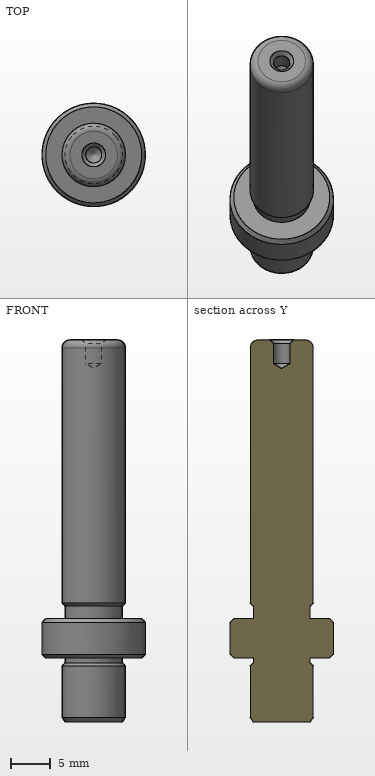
import cadquery as cq
import math

total_length = 48.0
pin_radius = 4.0
neck_radius = 3.6
top_fillet = 1.0

shank_end_radius = 3.6
shank_end_chamfer_height = 0.6
shank_top = 7.05

collar_radius = 6.505
collar_bottom = 8.0
collar_height = 5.0
collar_chamfer = 0.5
collar_top = collar_bottom + collar_height

neck_step = pin_radius - neck_radius
upper_neck_length = 1.55
upper_neck_top = collar_top + upper_neck_length

hole_radius = 1.0
hole_mouth_radius = 1.5
hole_depth = 3.0
drill_point_angle = 118.0


def make_body():
    fillet_offset = top_fillet * math.sin(math.radians(45))
    fillet_center_radius = pin_radius - top_fillet
    fillet_center_z = total_length - top_fillet
    profile = (
        cq.Workplane("XZ")
        .moveTo(0, 0)
        .lineTo(shank_end_radius, 0)
        .lineTo(pin_radius, shank_end_chamfer_height)
        .lineTo(pin_radius, shank_top)
        .lineTo(neck_radius, shank_top + neck_step)
        .lineTo(neck_radius, collar_bottom)
        .lineTo(collar_radius - collar_chamfer, collar_bottom)
        .lineTo(collar_radius, collar_bottom + collar_chamfer)
        .lineTo(collar_radius, collar_top - collar_chamfer)
        .lineTo(collar_radius - collar_chamfer, collar_top)
        .lineTo(neck_radius, collar_top)
        .lineTo(neck_radius, upper_neck_top)
        .lineTo(pin_radius, upper_neck_top + neck_step)
        .lineTo(pin_radius, fillet_center_z)
        .threePointArc(
            (fillet_center_radius + fillet_offset, fillet_center_z + fillet_offset),
            (fillet_center_radius, total_length),
        )
        .lineTo(0, total_length)
        .close()
    )
    return profile.revolve(360, (0, 0, 0), (0, 1, 0))


def make_center_hole():
    countersink_depth = hole_mouth_radius - hole_radius
    wall_end = total_length - hole_depth
    point_length = hole_radius / math.tan(math.radians(drill_point_angle / 2))
    profile = (
        cq.Workplane("XZ")
        .moveTo(0, total_length)
        .lineTo(hole_mouth_radius, total_length)
        .lineTo(hole_radius, total_length - countersink_depth)
        .lineTo(hole_radius, wall_end)
        .lineTo(0, wall_end - point_length)
        .close()
    )
    return profile.revolve(360, (0, 0, 0), (0, 1, 0))


result = make_body().cut(make_center_hole())